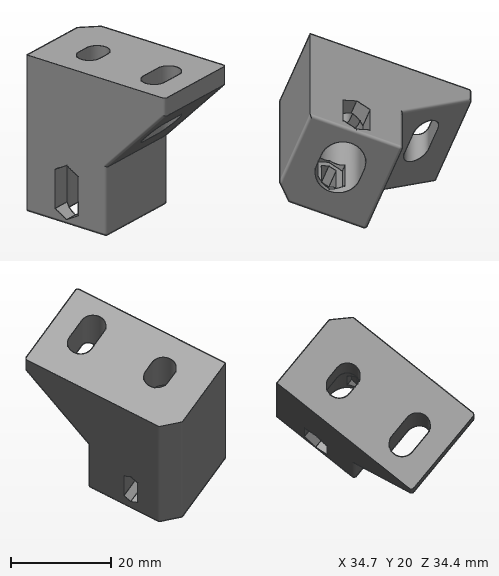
import cadquery as cq
import math

length = 34.74
depth = 20.0
height = 34.4
leg_length = 20.0
tip_height = 4.0
leg_height = 15.2
corner_chamfer = 3.4
edge_radius = 0.6

slot_width = 5.2
leg_slot_x = 10.0
leg_slot_y = 8.75
leg_slot_length = 7.7
tip_slot_x = 27.25
tip_slot_y = 8.55
tip_slot_length = 10.0

head_width = 9.2
head_recess_ceiling = 10.0

nut_slot_x = leg_slot_x
nut_slot_z = 6.95
nut_travel = 5.2
nut_corners = 6.7
nut_pocket_depth = 15.0
bolt_corners = 3.65


def make_block():
    """Side profile extruded to the back, with the back-left corner cut."""
    profile = [
        (0, 0),
        (leg_length, 0),
        (leg_length, leg_height),
        (length, height - tip_height),
        (length, height),
        (0, height),
    ]
    block = cq.Workplane("XZ").polyline(profile).close().extrude(-depth)
    back_left = cq.selectors.NearestToPointSelector((0, depth, height / 2))
    return block.edges(back_left).chamfer(corner_chamfer)


def round_edges(block):
    """Round the chamfer corners, the right-hand outline and the bottom rim."""
    middle = height / 2
    block = (
        block.edges(cq.selectors.NearestToPointSelector((0, depth - corner_chamfer, middle)))
        .fillet(edge_radius)
        .edges(cq.selectors.NearestToPointSelector((corner_chamfer, depth, middle)))
        .fillet(edge_radius)
    )
    right_outline = cq.selectors.BoxSelector((leg_length / 2, -depth, 0), (length * 2, depth * 2, height))
    side_edges = block.edges(right_outline).edges("not |Y").edges("not |X")
    return side_edges.add(block.faces("<Z").edges()).fillet(edge_radius)


def vertical_slot(x, y, slot_length, width, slot_height):
    """Round-ended slot along Y, rising from the bottom plane."""
    return cq.Workplane("XY").center(x, y).slot2D(slot_length, width, 90).extrude(slot_height)


def hexagon_slot(across_corners, slot_depth):
    """Slot with pointed hexagon ends, running in from the front face."""
    corner = across_corners / 2
    half_width = corner * math.cos(math.radians(30))
    shoulder = nut_travel / 2 + corner / 2
    peak = nut_travel / 2 + corner
    outline = [
        (0, peak),
        (half_width, shoulder),
        (half_width, -shoulder),
        (0, -peak),
        (-half_width, -shoulder),
        (-half_width, shoulder),
    ]
    return (
        cq.Workplane("XZ").center(nut_slot_x, nut_slot_z).polyline(outline).close().extrude(-slot_depth)
    )


head_slot_length = leg_slot_length + head_width - slot_width

result = (
    round_edges(make_block())
    .cut(vertical_slot(leg_slot_x, leg_slot_y, leg_slot_length, slot_width, height))
    .cut(vertical_slot(tip_slot_x, tip_slot_y, tip_slot_length, slot_width, height))
    .cut(vertical_slot(leg_slot_x, leg_slot_y, head_slot_length, head_width, height - head_recess_ceiling))
    .cut(hexagon_slot(nut_corners, nut_pocket_depth))
    .cut(hexagon_slot(bolt_corners, depth))
)